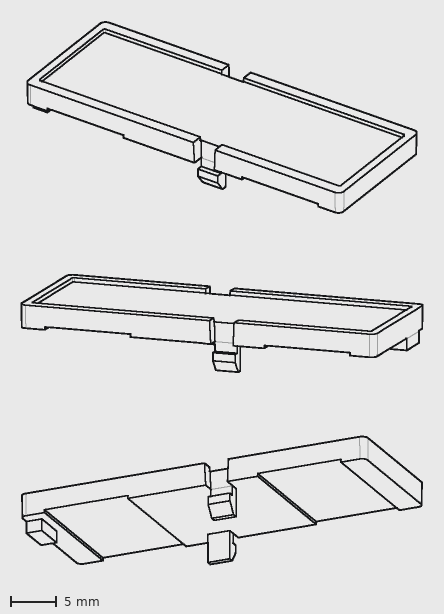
import cadquery as cq
import math

length = 41.4
width = 15.52
total_height = 5.9
plate_height = 2.6
corner_radius = 0.7
wall_draft = 1.0
wall_inset = plate_height * math.tan(math.radians(wall_draft))

rim_end = 0.95
rim_side = 1.35
pocket_depth = 0.45
pocket_draft = 4.0
pocket_corner_radius = 0.15

relief_length = 9.98
relief_end_gap = 2.95
relief_height = 0.35

hook_offset = 2.85
hook_width = 2.6
notch_top_width = 2.85
notch_depth = 1.5
notch_draft = math.degrees(math.atan((notch_top_width - hook_width) / 2 / plate_height))

shaft_outer = notch_depth - (notch_top_width - hook_width) / 2
shaft_inner = 2.3
barb_outer = 0.7
tip_outer = 1.65
barb_top = 3.73
barb_bottom = 4.65

block_length = 1.9
block_side_gap = 1.6
block_width = 3.9
block_bottom = 3.97


def make_plate():
    outline = cq.Sketch().rect(length, width).vertices().fillet(corner_radius)
    plate = cq.Workplane("XY").placeSketch(outline).extrude(-plate_height, taper=wall_draft)
    pocket_outline = (
        cq.Sketch()
        .rect(length - 2 * rim_end, width - 2 * rim_side)
        .vertices()
        .fillet(pocket_corner_radius)
    )
    pocket = cq.Workplane("XY").placeSketch(pocket_outline).extrude(-pocket_depth, taper=pocket_draft)
    return plate.cut(pocket)


def make_relief(side):
    center_x = side * (length / 2 - relief_end_gap - relief_length / 2)
    return (
        cq.Workplane("XY", origin=(center_x, 0, -plate_height))
        .rect(relief_length, width)
        .extrude(relief_height)
    )


def make_notch():
    """Tapered notch in the -Y side; its outer half lies outside the plate."""
    return (
        cq.Workplane("XY", origin=(hook_offset, -width / 2, 0))
        .rect(notch_top_width, 2 * notch_depth)
        .extrude(-plate_height, taper=notch_draft)
    )


def make_hook():
    """Snap hook at the -Y side, with its barb pointing outward."""
    outline = [
        (shaft_inner, -plate_height),
        (shaft_outer, -plate_height),
        (shaft_outer, -barb_top),
        (barb_outer, -barb_top),
        (barb_outer, -barb_bottom),
        (tip_outer, -total_height),
        (shaft_inner, -total_height),
    ]
    return (
        cq.Workplane("YZ", origin=(hook_offset - hook_width / 2, -width / 2, 0))
        .polyline(outline)
        .close()
        .extrude(hook_width)
    )


def make_block():
    block_start = -length / 2 + wall_inset
    block_end = -length / 2 + block_length
    return (
        cq.Workplane("XY", origin=(block_start, -width / 2 + block_side_gap, -block_bottom))
        .rect(block_end - block_start, block_width, centered=False)
        .extrude(block_bottom - plate_height)
    )


result = make_plate()
for end in (-1, 1):
    result = result.cut(make_relief(end))

for angle in (0, 180):
    result = result.cut(make_notch().rotate((0, 0, 0), (0, 0, 1), angle))
    result = result.union(make_hook().rotate((0, 0, 0), (0, 0, 1), angle))

result = result.union(make_block())